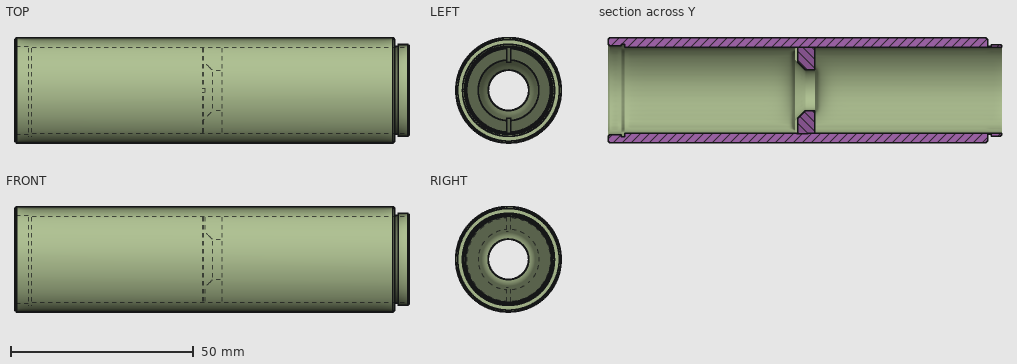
import cadquery as cq
import math

LENGTH = 107.9
TUBE_RADIUS = 14.5
BARREL_END = 104.0
EDGE_CHAMFER = 0.5
BORE_RADIUS = 11.8

SPIGOT_RADIUS = 12.6
SPIGOT_START = 104.8
NECK_RADIUS = 12.1
SPIGOT_CHAMFER = 0.4

SOCKET_RADIUS = 12.1
SOCKET_DEPTH = 4.5
MOUTH_CHAMFER = 0.5
RELIEF_RADIUS = 12.6
RELIEF_WIDTH = 0.9

RING_FRONT = 51.2
RING_THICKNESS = 5.4
RING_CHAMFER = 0.3
CONE_FRONT_RADIUS = 8.3
APERTURE_RADIUS = 5.5
CONE_HALF_ANGLE = 45.0
SLOT_WIDTH = 1.1
SLOT_DEPTH = 0.6


def revolve_about_x(points):
    """Turn a closed (x, radius) outline into a solid of revolution about the X axis."""
    return cq.Workplane("XY").polyline(points).close().revolve(360, (0, 0, 0), (1, 0, 0))


def make_tube():
    return revolve_about_x([
        (0, SOCKET_RADIUS + MOUTH_CHAMFER),
        (0, TUBE_RADIUS - EDGE_CHAMFER),
        (EDGE_CHAMFER, TUBE_RADIUS),
        (BARREL_END - EDGE_CHAMFER, TUBE_RADIUS),
        (BARREL_END, TUBE_RADIUS - EDGE_CHAMFER),
        (BARREL_END, NECK_RADIUS),
        (SPIGOT_START, NECK_RADIUS),
        (SPIGOT_START, SPIGOT_RADIUS),
        (LENGTH - SPIGOT_CHAMFER, SPIGOT_RADIUS),
        (LENGTH, SPIGOT_RADIUS - SPIGOT_CHAMFER),
        (LENGTH, BORE_RADIUS),
        (SOCKET_DEPTH, BORE_RADIUS),
        (SOCKET_DEPTH, RELIEF_RADIUS),
        (SOCKET_DEPTH - RELIEF_WIDTH, RELIEF_RADIUS),
        (SOCKET_DEPTH - RELIEF_WIDTH, SOCKET_RADIUS),
        (MOUTH_CHAMFER, SOCKET_RADIUS),
    ])


def make_aperture_ring():
    cone_length = (CONE_FRONT_RADIUS - APERTURE_RADIUS) / math.tan(math.radians(CONE_HALF_ANGLE))
    ring_back = RING_FRONT + RING_THICKNESS
    ring = revolve_about_x([
        (RING_FRONT, CONE_FRONT_RADIUS),
        (RING_FRONT, BORE_RADIUS - RING_CHAMFER),
        (RING_FRONT + RING_CHAMFER, BORE_RADIUS),
        (ring_back, BORE_RADIUS),
        (ring_back, APERTURE_RADIUS),
        (RING_FRONT + cone_length, APERTURE_RADIUS),
    ])
    spanner_slot = cq.Workplane("XY").box(2 * SLOT_DEPTH, SLOT_WIDTH, 2 * TUBE_RADIUS)
    return ring.cut(spanner_slot.translate((RING_FRONT, 0, 0)))


tube = make_tube()
aperture_ring = make_aperture_ring()

result = cq.Compound.makeCompound([tube.val(), aperture_ring.val()])